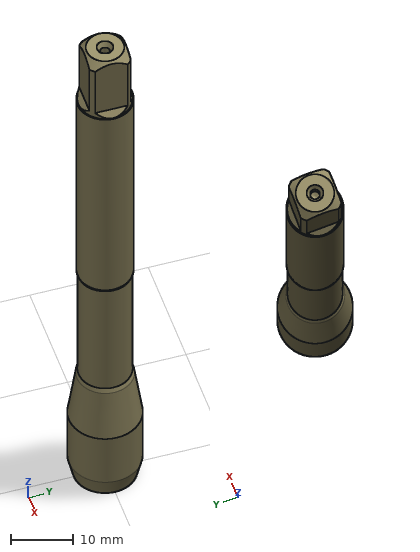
import cadquery as cq
import math

total_length = 100.0
lead_length = 3.5
head_length = 13.7
taper_top = 23.1
neck_bottom = 23.9
neck_top = 46.9
shank_bottom = 47.4
shank_top = 87.8
flat_bottom = 88.9

tip_diameter = 10.6
head_diameter = 12.2
taper_top_diameter = 9.5
neck_diameter = 8.9
shank_diameter = 9.3
drive_diameter = 8.9
drive_top_diameter = 6.2

square_width = 7.0
top_chamfer = (drive_diameter - drive_top_diameter) / 2

center_diameter = 2.7
pilot_diameter = 1.6
center_hole_depth = 2.5
pilot_tip_angle = 120.0
pilot_tip_depth = pilot_diameter / 2 / math.tan(math.radians(pilot_tip_angle / 2))
countersink_angle = 60.0
countersink_depth = (center_diameter - pilot_diameter) / 2 / math.tan(math.radians(countersink_angle / 2))


def turned(profile):
    """Revolve (diameter, height) corners about Z; the profile closes along the axis."""
    bottom = profile[0][1]
    top = profile[-1][1]
    corners = [(diameter / 2, height) for diameter, height in profile]
    if profile[0][0] > 0:
        corners.insert(0, (0, bottom))
    corners.append((0, top))
    return cq.Workplane("XZ").polyline(corners).close().revolve(360, (0, 0, 0), (0, 1, 0))


def make_cutting_head():
    """Threading head, simplified to its envelope with a tapered lead."""
    return turned([
        (tip_diameter, 0),
        (head_diameter, lead_length),
        (head_diameter, head_length),
    ])


def flat_cutter():
    """Material removed beside the -Y flat, ending at the bottom in a sloping ramp to the shank."""
    inner = square_width / 2
    outer = drive_diameter / 2
    return (
        cq.Workplane("YZ")
        .polyline([
            (-inner, total_length),
            (-inner, flat_bottom),
            (-outer, shank_top),
            (-outer, total_length),
        ])
        .close()
        .extrude(shank_diameter / 2, both=True)
    )


def center_hole():
    """Countersunk pilot hole cut into the top end."""
    return turned([
        (0, total_length - center_hole_depth - pilot_tip_depth),
        (pilot_diameter, total_length - center_hole_depth),
        (pilot_diameter, total_length - countersink_depth),
        (center_diameter, total_length),
    ])


def make_shank():
    """Taper, neck and shank with a square drive at the top."""
    shank = turned([
        (head_diameter, head_length),
        (taper_top_diameter, taper_top),
        (neck_diameter, neck_bottom),
        (neck_diameter, neck_top),
        (shank_diameter, shank_bottom),
        (shank_diameter, shank_top),
        (drive_diameter, shank_top),
        (drive_diameter, total_length - top_chamfer),
        (drive_top_diameter, total_length),
    ])
    for angle in range(0, 360, 90):
        shank = shank.cut(flat_cutter().rotate((0, 0, 0), (0, 0, 1), angle))
    return shank.cut(center_hole())


cutting_head = make_cutting_head()
shank = make_shank()

result = cq.Compound.makeCompound([cutting_head.val(), shank.val()])